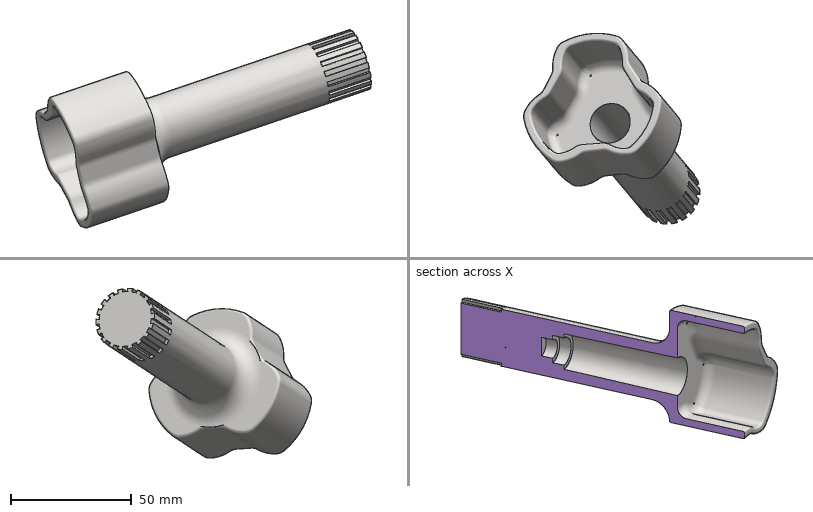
import cadquery as cq
import math

total_length = 133.5
head_length = 35.5
lobe_count = 3

head_radius = 29.8
lobe_offset = 17.0
lobe_radius = 16.3
valley_distance = 21.6
valley_fillet = 5.5
corner_radius = 5.3
head_twist = 2.4

wall = 3.5
cup_depth = 31.5
cup_valley_fillet = 6.7
cup_corner_radius = 4.1
cup_floor_fillet = 4.0

rim_outer_fillet = 1.0
rim_inner_fillet = 1.0
back_edge_fillet = 1.2

shaft_radius = 13.1
root_fillet = 8.1

groove_count = 18
groove_length = 19.0
groove_width = 2.1
groove_depth = 1.3

bore_radius = 8.5
bore_end_radius = 8.0
bore_depth = 53.4
step_radii = (6.1, 4.1)
step_depth = 5.3


def disc(radius, start, length):
    """Cylinder on the Y axis from Y = start, running towards +Y."""
    return cq.Workplane("XZ", origin=(0, start, 0)).circle(radius).extrude(-length)


def lobed_prism(inset, valley_round, corner_round, length, twist):
    """Three-lobed prism from Y = 0, drawn in by inset from the outside of the head."""
    outer_radius = head_radius - inset
    triangle_circumradius = 2 * (valley_distance - inset)
    lobes = (
        cq.Workplane("XZ")
        .polarArray(lobe_offset, 90, 360, lobe_count)
        .circle(lobe_radius - inset)
        .extrude(-length)
    )
    triangle = (
        cq.Workplane("XZ")
        .transformed(rotate=(0, 0, 90))
        .polygon(lobe_count, 2 * triangle_circumradius)
        .extrude(-length)
    )
    prism = lobes.union(triangle).intersect(disc(outer_radius, 0, length)).clean()

    def lengthwise_edges(on_lobe_tips):
        edges = []
        for edge in prism.edges("|Y").vals():
            centre = edge.Center()
            at_tip = math.hypot(centre.x, centre.z) > outer_radius - 0.01
            if at_tip == on_lobe_tips:
                edges.append(edge)
        return prism.newObject(edges)

    prism = lengthwise_edges(False).fillet(valley_round)
    prism = lengthwise_edges(True).fillet(corner_round)
    return prism.rotate((0, 0, 0), (0, -1, 0), twist)


def make_head():
    """Solid head with its front and back outlines rounded."""
    head = lobed_prism(0, valley_fillet, corner_radius, head_length, head_twist)
    head = head.faces("<Y").edges().fillet(rim_outer_fillet)
    return head.faces(">Y").edges().fillet(back_edge_fillet)


def make_shaft():
    """Shaft with a concave flare where it meets the back of the head."""
    flare_radius = shaft_radius + root_fillet
    flare_end = head_length + root_fillet
    arc_inset = root_fillet * math.sqrt(0.5)
    arc_middle = (flare_radius - arc_inset, flare_end - arc_inset)
    return (
        cq.Workplane("XY")
        .moveTo(0, cup_depth)
        .lineTo(flare_radius, cup_depth)
        .lineTo(flare_radius, head_length)
        .threePointArc(arc_middle, (shaft_radius, flare_end))
        .lineTo(shaft_radius, total_length)
        .lineTo(0, total_length)
        .close()
        .revolve(360, (0, 0, 0), (0, 1, 0))
    )


def make_cup():
    """Volume of the cup, with its floor edge rounded."""
    cup = lobed_prism(wall, cup_valley_fillet, cup_corner_radius, cup_depth, 0)
    return cup.faces(">Y").edges().fillet(cup_floor_fillet)


def make_bore():
    """Tapered bore from the cup floor and the smaller steps at its end."""
    bore_end = cup_depth + bore_depth
    bore = (
        cq.Workplane("XY")
        .moveTo(0, cup_depth)
        .lineTo(bore_radius, cup_depth)
        .lineTo(bore_end_radius, bore_end)
        .lineTo(0, bore_end)
        .close()
        .revolve(360, (0, 0, 0), (0, 1, 0))
    )
    for index, radius in enumerate(step_radii):
        bore = bore.union(disc(radius, bore_end, (index + 1) * step_depth))
    return bore


def make_grooves():
    """Straight grooves around the free end of the shaft."""
    groove_floor = shaft_radius - groove_depth
    groove = cq.Workplane("XY").box(
        groove_width, groove_length, 2 * groove_depth, centered=(True, False, False)
    )
    groove = groove.translate((0, total_length - groove_length, groove_floor))
    grooves = groove
    for index in range(1, groove_count):
        angle = index * 360 / groove_count
        grooves = grooves.union(groove.rotate((0, 0, 0), (0, 1, 0), angle))
    return grooves


head = make_head().cut(make_cup())
rim_outlines = head.faces("<Y").wires().vals()
inner_rim_edges = min(rim_outlines, key=lambda wire: wire.Length()).Edges()
head = head.newObject(inner_rim_edges).fillet(rim_inner_fillet)

result = head.union(make_shaft()).cut(make_bore()).cut(make_grooves())